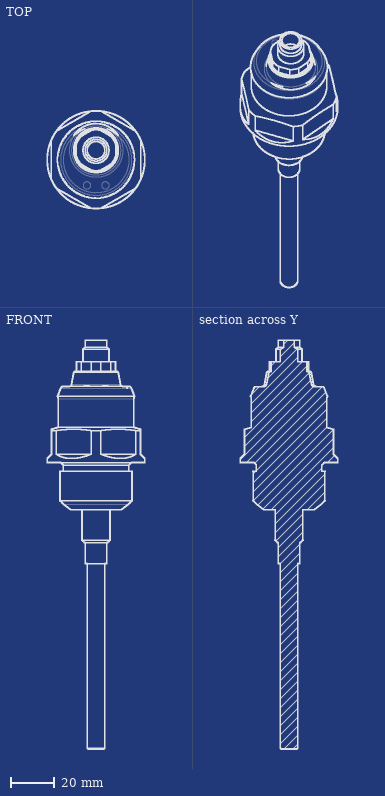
import cadquery as cq
import math

TOTAL_LENGTH = 188.1
TOP_Z = 56.3
TIP_Z = TOP_Z - TOTAL_LENGTH

HEX_HALF_ANGLE = 30.0
HEX_CORNER_COSINE = math.cos(math.radians(HEX_HALF_ANGLE))

FLANGE_DIA = 45.0
HEX_WIDTH = 41.0
HEX_TOP_Z = 16.3
HEX_CHAMFER_ANGLE = 17.0
FLAT_BOTTOM_Z = 3.9
FOOT_ANGLE = 45.0

THREAD_DIA = 33.25
UNDERCUT_DIA = 30.2
UNDERCUT_TOP_Z = -1.2
UNDERCUT_BOTTOM_Z = -3.9
THREAD_CHAMFER = 1.7
THREAD_BOTTOM_Z = -17.5
NECK_END_DIA = 23.4
NECK_END_Z = -21.7

SHOULDER_DIA = 13.0
SLEEVE_DIA = 10.0
ROD_DIA = 8.2
SHOULDER_CHAMFER = 1.2
SLEEVE_TOP_Z = -36.8
ROD_TOP_Z = -46.5
TIP_CHAMFER = 0.5

BODY_DIA = 34.8
CAP_DIA = 35.5
CAP_TOP_DIA = 32.0
CAP_BOTTOM_Z = 29.3
CAP_RIM_Z = 30.5
CAP_TOP_Z = 35.1
CAP_EDGE_RADIUS = 1.3

PLUG_OFFSET_Y = 4.35
SOCKET_DIA = 22.6
SOCKET_TOP_DIA = 20.6
SOCKET_TOP_Z = 42.0
SOCKET_EDGE_CHAMFER = 0.5
SOCKET_FOOT_RADIUS = 1.0
NUT_WIDTH = 18.0
NUT_CORNER_DIA = 18.8
NUT_TOP_Z = 46.5
PLUG_DIA = 12.0
PLUG_END_DIA = 10.0
PLUG_END_LENGTH = 3.2
PLUG_BORE_DIA = 8.1
PLUG_BORE_DEPTH = 8.0

LIGHT_DIA = 3.4
LIGHT_HEIGHT = 0.3
LIGHT_SPACING = 8.5
LIGHT_Y = -11.7


def revolve_profile(points):
    """Turn a radius/height outline around the Z axis."""
    return cq.Workplane("XZ").polyline(points).close().revolve(360, (0, 0, 0), (0, 1, 0))


def hex_prism(width, bottom_z, top_z):
    """Hexagon with two of its flats facing +X and -X."""
    corner_dia = width / HEX_CORNER_COSINE
    prism = cq.Workplane("XY").workplane(offset=bottom_z).polygon(6, corner_dia).extrude(top_z - bottom_z)
    return prism.rotate((0, 0, 0), (0, 0, 1), HEX_HALF_ANGLE)


def make_flange():
    rim_drop = (FLANGE_DIA - BODY_DIA) / 2 * math.tan(math.radians(HEX_CHAMFER_ANGLE))
    turned = revolve_profile([
        (0, 0),
        (FLANGE_DIA / 2, 0),
        (FLANGE_DIA / 2, HEX_TOP_Z - rim_drop),
        (BODY_DIA / 2, HEX_TOP_Z),
        (0, HEX_TOP_Z),
    ])
    foot_spread = FLAT_BOTTOM_Z * math.tan(math.radians(FOOT_ANGLE))
    foot_corner_dia = (HEX_WIDTH + 2 * foot_spread) / HEX_CORNER_COSINE
    foot = cq.Workplane("XY").polygon(6, foot_corner_dia).extrude(FLAT_BOTTOM_Z, taper=FOOT_ANGLE)
    foot = foot.rotate((0, 0, 0), (0, 0, 1), HEX_HALF_ANGLE)
    return turned.intersect(hex_prism(HEX_WIDTH, FLAT_BOTTOM_Z, HEX_TOP_Z).union(foot))


def make_neck_and_probe():
    undercut_r = UNDERCUT_DIA / 2
    thread_r = THREAD_DIA / 2
    shoulder_r = SHOULDER_DIA / 2
    sleeve_r = SLEEVE_DIA / 2
    rod_r = ROD_DIA / 2
    return revolve_profile([
        (0, 0),
        (undercut_r - UNDERCUT_TOP_Z, 0),
        (undercut_r, UNDERCUT_TOP_Z),
        (undercut_r, UNDERCUT_BOTTOM_Z),
        (thread_r, UNDERCUT_BOTTOM_Z),
        (thread_r, THREAD_BOTTOM_Z),
        (thread_r - THREAD_CHAMFER, THREAD_BOTTOM_Z - THREAD_CHAMFER),
        (NECK_END_DIA / 2, NECK_END_Z),
        (shoulder_r, NECK_END_Z),
        (shoulder_r, SLEEVE_TOP_Z + SHOULDER_CHAMFER),
        (shoulder_r - SHOULDER_CHAMFER, SLEEVE_TOP_Z),
        (sleeve_r, SLEEVE_TOP_Z),
        (sleeve_r, ROD_TOP_Z),
        (rod_r, ROD_TOP_Z),
        (rod_r, TIP_Z + TIP_CHAMFER),
        (rod_r - TIP_CHAMFER, TIP_Z),
        (0, TIP_Z),
    ])


def make_housing():
    body_r = BODY_DIA / 2
    cap_r = CAP_DIA / 2
    housing = revolve_profile([
        (0, HEX_TOP_Z),
        (body_r, HEX_TOP_Z),
        (body_r, CAP_BOTTOM_Z),
        (cap_r, CAP_RIM_Z),
        (CAP_TOP_DIA / 2, CAP_TOP_Z),
        (0, CAP_TOP_Z),
    ])
    return housing.faces(">Z").edges().fillet(CAP_EDGE_RADIUS)


def make_plug():
    plug_r = PLUG_DIA / 2
    end_r = PLUG_END_DIA / 2
    socket_r = SOCKET_DIA / 2
    socket_top_r = SOCKET_TOP_DIA / 2
    plug_rim_z = TOP_Z - PLUG_END_LENGTH
    foot_top = (socket_r, CAP_TOP_Z + SOCKET_FOOT_RADIUS)
    foot_inset = SOCKET_FOOT_RADIUS * (1 - math.cos(math.pi / 4))
    foot_middle = (socket_r + foot_inset, CAP_TOP_Z + foot_inset)
    socket = (
        cq.Workplane("XZ")
        .moveTo(0, CAP_TOP_Z)
        .lineTo(socket_r + SOCKET_FOOT_RADIUS, CAP_TOP_Z)
        .threePointArc(foot_middle, foot_top)
        .lineTo(socket_top_r, SOCKET_TOP_Z - SOCKET_EDGE_CHAMFER)
        .lineTo(socket_top_r - SOCKET_EDGE_CHAMFER, SOCKET_TOP_Z)
        .lineTo(0, SOCKET_TOP_Z)
        .close()
        .revolve(360, (0, 0, 0), (0, 1, 0))
    )
    nut_height = NUT_TOP_Z - SOCKET_TOP_Z
    nut_blank = cq.Workplane("XY").workplane(offset=SOCKET_TOP_Z).circle(NUT_CORNER_DIA / 2).extrude(nut_height)
    nut = nut_blank.intersect(hex_prism(NUT_WIDTH, SOCKET_TOP_Z, NUT_TOP_Z))
    pin = revolve_profile([
        (0, NUT_TOP_Z),
        (plug_r, NUT_TOP_Z),
        (plug_r, plug_rim_z - (plug_r - end_r)),
        (end_r, plug_rim_z),
        (end_r, TOP_Z),
        (0, TOP_Z),
    ])
    bore = cq.Workplane("XY").workplane(offset=TOP_Z).circle(PLUG_BORE_DIA / 2).extrude(-PLUG_BORE_DEPTH)
    return socket.union(nut).union(pin).cut(bore).translate((0, PLUG_OFFSET_Y, 0))


def make_light(x):
    """Shallow dome on the cap: the top slice of a sphere."""
    light_r = LIGHT_DIA / 2
    sphere_r = (light_r**2 + LIGHT_HEIGHT**2) / (2 * LIGHT_HEIGHT)
    sphere_z = CAP_TOP_Z + LIGHT_HEIGHT - sphere_r
    sphere = cq.Workplane("XY").sphere(sphere_r).translate((x, LIGHT_Y, sphere_z))
    post = cq.Workplane("XY").circle(light_r).extrude(2 * LIGHT_HEIGHT)
    return sphere.intersect(post.translate((x, LIGHT_Y, CAP_TOP_Z - LIGHT_HEIGHT)))


result = make_flange().union(make_neck_and_probe()).union(make_housing()).union(make_plug())
for side in (-1, 1):
    result = result.union(make_light(side * LIGHT_SPACING / 2))